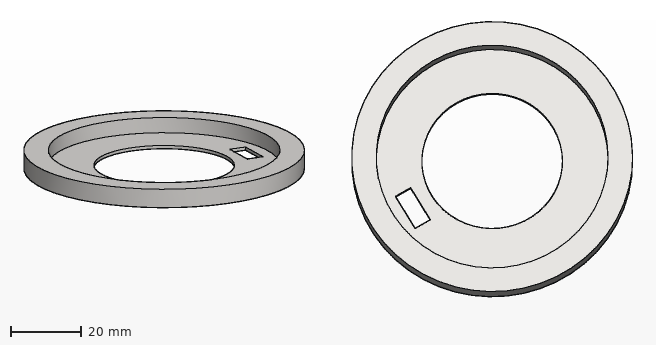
import cadquery as cq

outer_diameter = 80.0
height = 5.5
bore_diameter = 40.0

recess_diameter = 66.0
floor_thickness = 1.0

window_length = 11.0
window_width = 5.0
window_center_x = -0.5
window_center_y = 26.5


def disc(diameter, bottom, thickness):
    """Upright disc centred on the Z axis."""
    return cq.Workplane("XY").workplane(offset=bottom).circle(diameter / 2).extrude(thickness)


def window_cutter():
    """Block that cuts the window through the floor."""
    return (
        cq.Workplane("XY")
        .center(window_center_x, window_center_y)
        .rect(window_length, window_width)
        .extrude(floor_thickness)
    )


body = disc(outer_diameter, 0, height)
recess = disc(recess_diameter, floor_thickness, height - floor_thickness)
bore = disc(bore_diameter, 0, floor_thickness)

result = body.cut(recess).cut(bore).cut(window_cutter())